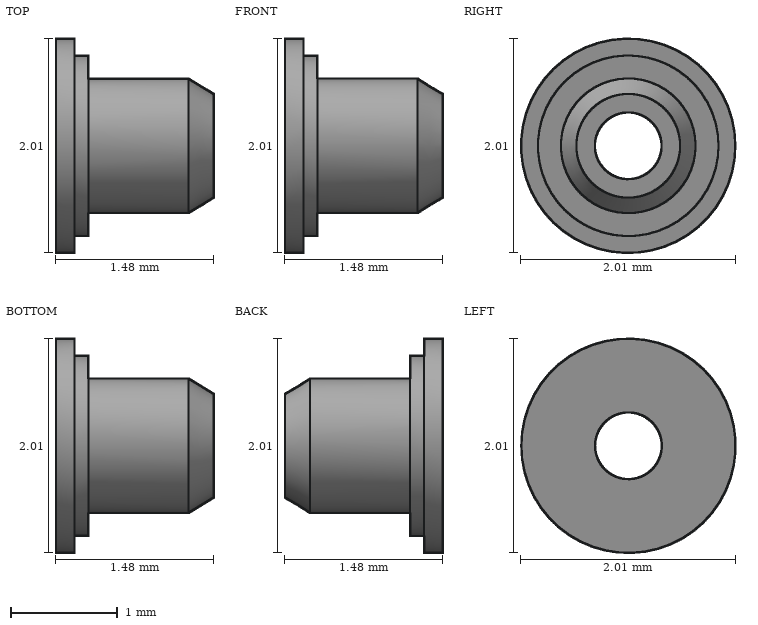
import cadquery as cq

total_length = 1.48
flange_diameter = 2.01
flange_thickness = 0.175
shoulder_diameter = 1.692
shoulder_thickness = 0.13
body_diameter = 1.262
nose_length = 0.237
nose_diameter = 0.973
bore_diameter = 0.623

flange_face = -total_length / 2
flange_back = flange_face + flange_thickness
shoulder_back = flange_back + shoulder_thickness
nose_end = total_length / 2
nose_start = nose_end - nose_length


def turned_profile():
    """Half section in the XY plane, from the bore wall out to the skin."""
    return (
        cq.Workplane("XY")
        .moveTo(flange_face, bore_diameter / 2)
        .lineTo(flange_face, flange_diameter / 2)
        .lineTo(flange_back, flange_diameter / 2)
        .lineTo(flange_back, shoulder_diameter / 2)
        .lineTo(shoulder_back, shoulder_diameter / 2)
        .lineTo(shoulder_back, body_diameter / 2)
        .lineTo(nose_start, body_diameter / 2)
        .lineTo(nose_end, nose_diameter / 2)
        .lineTo(nose_end, bore_diameter / 2)
        .close()
    )


result = turned_profile().revolve(360, (0, 0, 0), (1, 0, 0))